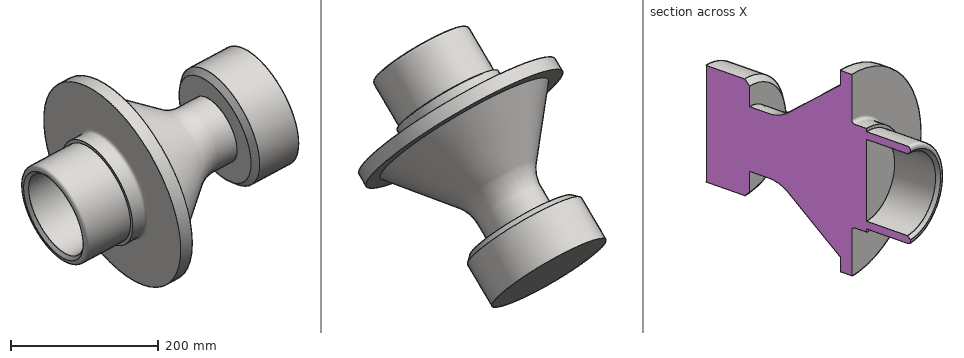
import cadquery as cq
import math

total_length = 350.0
front_y = -total_length / 2
spigot_length = 75.0
collar_length = 25.2
flange_thickness = 20.0
neck_start = 241.5
head_length = 75.0

spigot_diameter = 150.0
bore_diameter = 125.0
collar_diameter = 160.0
flange_diameter = 310.0
cone_base_diameter = 265.3
neck_diameter = 100.0
head_diameter = 180.0

rim_fillet = 5.0
bore_chamfer = 5.0
collar_fillet = 5.0
head_chamfer = 8.5
neck_blend_radius = 50.0
bore_depth = spigot_length

collar_y = front_y + spigot_length
flange_y = collar_y + collar_length
cone_y = flange_y + flange_thickness
neck_y = front_y + neck_start
back_y = front_y + total_length
head_y = back_y - head_length


def disc(diameter, start_y, end_y):
    """Solid cylinder about the Y axis between two stations."""
    plane = cq.Workplane("XZ", origin=(0, start_y, 0))
    return plane.circle(diameter / 2).extrude(start_y - end_y)


def spigot():
    body = disc(spigot_diameter, front_y, collar_y)
    return body.faces("<Y").edges().fillet(rim_fillet)


def collar_and_flange():
    collar = disc(collar_diameter, collar_y, flange_y)
    flange = disc(flange_diameter, flange_y, cone_y)
    body = flange.union(collar)
    root_edge = body.faces("<Y[1]").edges(cq.selectors.RadiusNthSelector(0))
    return root_edge.fillet(collar_fillet)


def cone_and_neck():
    """Straight cone that blends through a tangent arc into the neck."""
    neck_radius = neck_diameter / 2
    base_radius = cone_base_diameter / 2
    centre_radius = neck_radius + neck_blend_radius
    along = neck_y - cone_y
    across = centre_radius - base_radius
    centre_distance = math.hypot(along, across)
    slope = math.asin(neck_blend_radius / centre_distance) - math.atan2(across, along)

    def blend_point(angle):
        return (
            centre_radius - neck_blend_radius * math.cos(angle),
            neck_y - neck_blend_radius * math.sin(angle),
        )

    return (
        cq.Workplane("XY")
        .moveTo(0, cone_y)
        .lineTo(base_radius, cone_y)
        .lineTo(*blend_point(slope))
        .threePointArc(blend_point(slope / 2), (neck_radius, neck_y))
        .lineTo(neck_radius, head_y)
        .lineTo(0, head_y)
        .close()
        .revolve(360, (0, 0, 0), (0, 1, 0))
    )


def head():
    body = disc(head_diameter, head_y, back_y)
    return body.faces("<Y").edges().chamfer(head_chamfer)


def bore():
    """Blind bore with a chamfered mouth, as a solid to be cut away."""
    body = disc(bore_diameter, front_y, front_y + bore_depth)
    mouth_radius = bore_diameter / 2 + bore_chamfer
    mouth = cq.Solid.makeCone(
        mouth_radius,
        bore_diameter / 2,
        bore_chamfer,
        cq.Vector(0, front_y, 0),
        cq.Vector(0, 1, 0),
    )
    return body.union(cq.Workplane(mouth))


result = spigot().union(collar_and_flange()).union(cone_and_neck()).union(head()).cut(bore())